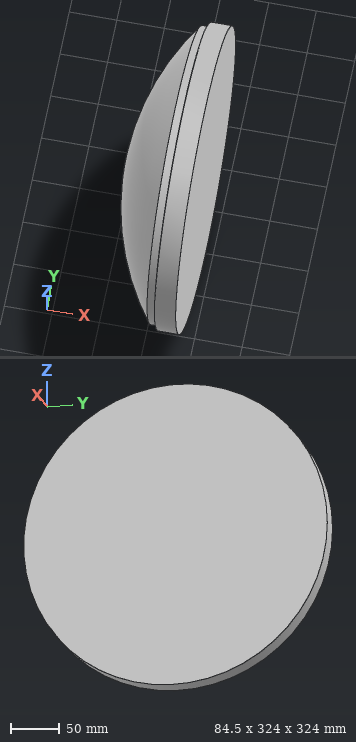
import cadquery as cq

rim_diameter = 324.0
step_diameter = 313.8
total_depth = 84.5
rim_width = 22.5
step_width = 8.7

rim_radius = rim_diameter / 2
step_radius = step_diameter / 2
dome_height = total_depth - rim_width - step_width
dome_radius = (step_radius**2 + dome_height**2) / (2 * dome_height)

dome_base_x = dome_height
rim_front_x = dome_base_x + step_width
back_x = total_depth

arc_mid_radius = step_radius / 2
arc_mid_x = dome_radius - (dome_radius**2 - arc_mid_radius**2) ** 0.5

half_section = (
    cq.Workplane("XY")
    .moveTo(0, 0)
    .threePointArc((arc_mid_x, arc_mid_radius), (dome_base_x, step_radius))
    .lineTo(rim_front_x, step_radius)
    .lineTo(rim_front_x, rim_radius)
    .lineTo(back_x, rim_radius)
    .lineTo(back_x, 0)
    .close()
)

result = half_section.revolve(360, (0, 0, 0), (1, 0, 0))